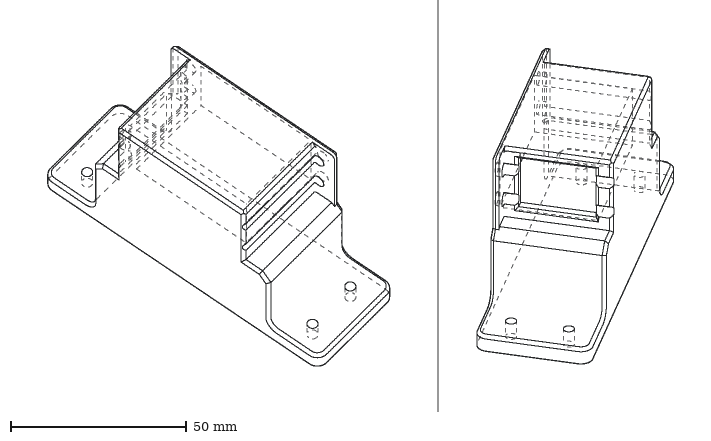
import cadquery as cq

length = 102.2
depth = 34.0
height = 52.0
edge_chamfer = 1.0

flange_height = 5.2
flange_corner_radius = 3.5
flange_hole_diameter = 3.2
flange_hole_x = 41.7
flange_hole_y = 8.5

body_width = 65.0
body_height = 28.6
shoulder = 3.1
foot_radius = 3.1

tower_width = 47.2
tower_center_x = -0.3
tower_left = tower_center_x - tower_width / 2
tower_right = tower_center_x + tower_width / 2

plate_width = 60.6
plate_center_x = 0.2
plate_thickness = 2.0
plate_corner_radius = 1.5
plate_root_radius = 0.4

cable_hole_diameter = 4.0
cable_hole_x = 24.5
cable_hole_heights = (34.7, 44.8)

window_front_y = -11.9
window_back_y = 10.9
window_bottom = 32.0
window_top = 48.6
window_chamfer = 0.9

end_wall = 3.3
chamber_floor = 29.3

back_y = depth / 2


def block(x_range, y_range, z_range):
    """Box spanning the given ranges."""
    size = [end - start for start, end in (x_range, y_range, z_range)]
    corner = (x_range[0], y_range[0], z_range[0])
    return cq.Workplane("XY").box(*size, centered=False).translate(corner)


def make_shell():
    """Stepped outline of flange, body and tower, extruded from front to back."""
    half = length / 2
    body = body_width / 2
    diagonal = foot_radius * (1 - 0.5 ** 0.5)
    foot_top = flange_height + foot_radius
    outline = (
        cq.Workplane("XZ", origin=(0, back_y, 0))
        .moveTo(-half, 0)
        .lineTo(half, 0)
        .lineTo(half, flange_height)
        .lineTo(body + foot_radius, flange_height)
        .threePointArc((body + diagonal, flange_height + diagonal), (body, foot_top))
        .lineTo(body, body_height - shoulder)
        .lineTo(body - shoulder, body_height)
        .lineTo(tower_right, body_height)
        .lineTo(tower_right, height)
        .lineTo(tower_left, height)
        .lineTo(tower_left, body_height)
        .lineTo(shoulder - body, body_height)
        .lineTo(-body, body_height - shoulder)
        .lineTo(-body, foot_top)
        .threePointArc((-body - diagonal, flange_height + diagonal), (-body - foot_radius, flange_height))
        .lineTo(-half, flange_height)
        .close()
    )
    shell = outline.extrude(depth)
    return shell.edges("|Z and (<X or >X)").fillet(flange_corner_radius)


def make_back_plate():
    """Plate with rounded top corners; its foot is buried in the shoulders."""
    plate_left = plate_center_x - plate_width / 2
    plate = block(
        (plate_left, plate_left + plate_width),
        (back_y - plate_thickness, back_y),
        (body_height - shoulder, height),
    )
    return plate.edges("|Y and >Z").fillet(plate_corner_radius)


def chamfer_outline(part):
    """Chamfer the front and back outlines and the top rims of the flange ends."""
    outline = part.faces("<Y or >Y").edges("not (<X or >X or <Z)")
    flange_ends = part.faces("<X or >X").edges(">Z")
    return outline.add(flange_ends).chamfer(edge_chamfer)


def round_plate_roots(part):
    """Fillet the inner corners between the plate and the tower ends."""
    root_y = back_y - plate_thickness
    wall_middle = (body_height + height) / 2
    for x in (tower_left, tower_right):
        root = cq.selectors.NearestToPointSelector((x, root_y, wall_middle))
        part = part.edges(root).fillet(plate_root_radius)
    return part


def bevel_tower_rims(part):
    """Cut a 45 degree bevel along the top of each tower end and its plate root."""
    leg = edge_chamfer + plate_root_radius
    for x, inward in ((tower_left, 1), (tower_right, -1)):
        inner_x = x + inward * edge_chamfer
        outer_x = inner_x - inward * leg
        wedge = (
            cq.Workplane("XZ", origin=(0, back_y - plate_thickness, 0))
            .moveTo(inner_x, height)
            .lineTo(outer_x, height)
            .lineTo(outer_x, height - leg)
            .close()
            .extrude(depth - plate_thickness)
        )
        part = part.cut(wedge)
    return part


def make_chamber():
    """Hollow behind the window, with a chamfered mouth on the left end wall."""
    chamber = block(
        (tower_left + end_wall, tower_right - end_wall),
        (window_front_y, back_y),
        (chamber_floor, window_top),
    )
    window = block(
        (tower_left, tower_left + end_wall),
        (window_front_y, window_back_y),
        (window_bottom, window_top),
    )
    mouth_width = window_back_y - window_front_y + 2 * window_chamfer
    mouth_height = window_top - window_bottom + 2 * window_chamfer
    window_center = ((window_front_y + window_back_y) / 2, (window_bottom + window_top) / 2)
    mouth = (
        cq.Workplane("YZ", origin=(tower_left, 0, 0))
        .center(*window_center)
        .rect(mouth_width, mouth_height)
        .extrude(window_chamfer, taper=45)
    )
    return chamber.union(window).union(mouth)


def make_holes():
    """Vertical screw holes in the flange and cable holes from front to back."""
    screws = (
        cq.Workplane("XY")
        .rect(2 * flange_hole_x, 2 * flange_hole_y, forConstruction=True)
        .vertices()
        .circle(flange_hole_diameter / 2)
        .extrude(flange_height)
    )
    cable_points = [(x, z) for x in (-cable_hole_x, cable_hole_x) for z in cable_hole_heights]
    cables = (
        cq.Workplane("XZ", origin=(0, back_y, 0))
        .pushPoints(cable_points)
        .circle(cable_hole_diameter / 2)
        .extrude(depth)
    )
    return screws.union(cables)


part = make_shell().union(make_back_plate())
part = chamfer_outline(part)
part = round_plate_roots(part)
part = bevel_tower_rims(part)
result = part.cut(make_chamber()).cut(make_holes())